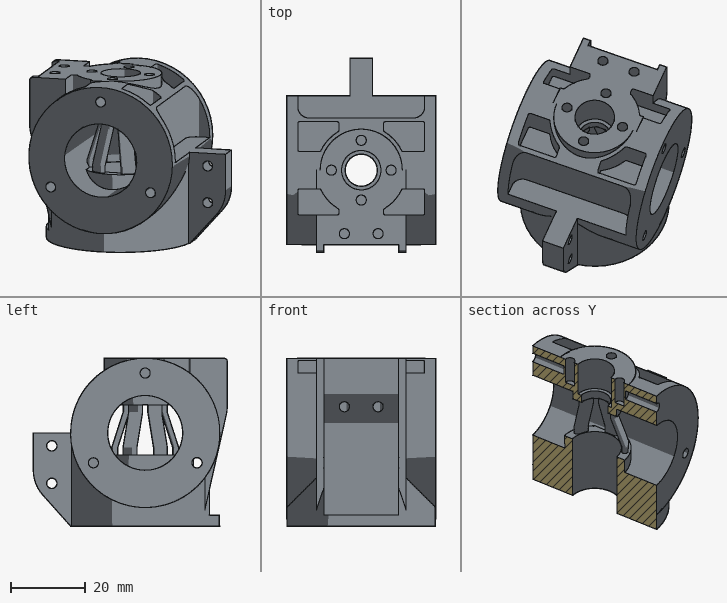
import cadquery as cq
import math

barrel_length = 40.0
body_diameter = 40.0
body_radius = body_diameter / 2
barrel_half = barrel_length / 2
barrel_bore_diameter = 20.0
base_diameter = 39.95
base_bottom = -25.0
top = body_radius
screw_diameter = 2.7

end_screw_radius = 16.0
end_screw_angles = (90, 210, 330)

seat_diameter = 22.0
seat_screw_radius = 8.0
seat_screw_depth = 7.8
seat_screw_angles = (0, 90, 180, 270)
seat_bore_diameter = 10.55
seat_bore_depth = 10.0
through_bore_diameter = 8.55

upper_collar_diameter = 14.3
upper_collar_end = 7.5
lower_collar_diameter = 19.5
lower_collar_end = -5.9
base_bore_diameter = upper_collar_diameter
bar_count = 6
bar_thickness = 1.65
bar_width = 4.1
bar_stub = 1.9
bar_upper_radius = (through_bore_diameter + bar_thickness) / 2
bar_lower_radius = 8.15

block_width = 24.0
block_front = -22.0
rib_corner_fillet = 0.85
rib_bend_z = 6.0
rib_bend_fillet = 10.0
rib_foot_y = -15.0
recess_width = 20.0
base_lip_height = 3.0
recess_floor = base_bottom + base_lip_height
recess_wall_y = -13.0
overhang_face_y = -body_radius
overhang_edge_z = 10.0
overhang_fillet = 5.0
overhang_screw_x = 4.5
overhang_screw_y = -17.0

end_screw_depth = (barrel_length - recess_width) / 2

pocket_inner_x = 6.0
pocket_outer_x = 17.0
pocket_inner_y = 5.0
pocket_front_y = 12.0
pocket_rear_y = 13.0
pocket_floor = 12.0
pocket_fillet = 0.5
seat_wall_radius = 12.0

notch_front_y = 14.0
notch_fillet = 3.0
tab_width = 6.05
tab_end = 30.0
tab_slope_start_z = -13.8
tab_slope_fillet = 10.0
tab_screw_y = 25.0
tab_screw_z = (-3.5, -13.5)


def upright(diameter, bottom, upper, x=0, y=0):
    """Vertical cylinder between two heights."""
    return cq.Workplane("XY", origin=(x, y, bottom)).circle(diameter / 2).extrude(upper - bottom)


def along_x(diameter, x_start, length, y=0, z=0):
    """Cylinder parallel to X, starting at x_start."""
    return cq.Workplane("YZ", origin=(x_start, y, z)).circle(diameter / 2).extrude(length)


def side_profile(points, width):
    """Outline in the YZ plane, extruded evenly to both sides of X = 0."""
    return cq.Workplane("YZ").polyline(points).close().extrude(width / 2, both=True)


def plan_box(x_start, x_end, y_start, y_end, bottom, upper):
    """Box given by its limits on each axis."""
    size = (x_end - x_start, y_end - y_start, upper - bottom)
    return cq.Workplane("XY", origin=(x_start, y_start, bottom)).box(*size, centered=False)


def edge_at(solid, y, z):
    """The edge parallel to X that passes through the given Y and Z."""
    near = 0.005
    corner = cq.selectors.BoxSelector((-body_radius, y - near, z - near), (body_radius, y + near, z + near))
    return solid.edges("|X").edges(corner)


def front_block():
    outline = [
        (0, top),
        (block_front, top),
        (block_front, rib_bend_z),
        (rib_foot_y, base_bottom),
        (0, base_bottom),
    ]
    block = side_profile(outline, block_width)
    block = edge_at(block, block_front, top).fillet(rib_corner_fillet)
    return edge_at(block, block_front, rib_bend_z).fillet(rib_bend_fillet)


def front_recess():
    """Space between the ribs, under a 45 degree overhang."""
    slope_foot_z = overhang_edge_z + overhang_face_y - recess_wall_y
    outer_y = block_front - body_radius
    outline = [
        (outer_y, top),
        (overhang_face_y, top),
        (overhang_face_y, overhang_edge_z),
        (recess_wall_y, slope_foot_z),
        (recess_wall_y, recess_floor),
        (outer_y, recess_floor),
    ]
    recess = side_profile(outline, recess_width)
    recess = edge_at(recess, overhang_face_y, overhang_edge_z).fillet(overhang_fillet)
    return edge_at(recess, recess_wall_y, slope_foot_z).fillet(overhang_fillet)


def mounting_tab():
    outline = [
        (0, 0),
        (tab_end, 0),
        (tab_end, tab_slope_start_z),
        (base_diameter / 2, base_bottom),
        (0, base_bottom),
    ]
    tab = side_profile(outline, tab_width)
    tab = edge_at(tab, tab_end, tab_slope_start_z).fillet(tab_slope_fillet)
    for z in tab_screw_z:
        tab = tab.cut(along_x(screw_diameter, -tab_width, 2 * tab_width, tab_screw_y, z))
    return tab


def seat_pocket(outer_y):
    """Pocket on the +X +Y side, with a round wall concentric with the seat."""
    pocket = plan_box(pocket_inner_x, pocket_outer_x, pocket_inner_y, outer_y, pocket_floor, top)
    pocket = pocket.cut(upright(2 * seat_wall_radius, pocket_floor, top))
    return pocket.edges("|Z").fillet(pocket_fillet)


def rear_notch():
    notch = plan_box(-pocket_outer_x, pocket_outer_x, notch_front_y, body_diameter, 0, top)
    return notch.edges("|Z and <Y").fillet(notch_fillet)


def bar_part(start_radius, start_z, end_radius, end_z):
    """Length of bar with a rounded section, running between two radii on the +Y side."""
    return (
        cq.Workplane("XY", origin=(0, start_radius, start_z))
        .slot2D(bar_width, bar_thickness)
        .workplane(offset=end_z - start_z)
        .center(0, end_radius - start_radius)
        .slot2D(bar_width, bar_thickness)
        .loft(ruled=True)
    )


def collar_bar():
    """Sloping bar with a short upright stub at each end, set into both collars."""
    slope_bottom = lower_collar_end + bar_stub
    slope_top = upper_collar_end - bar_stub
    embed = bar_stub / 2
    lower_stub = bar_part(bar_lower_radius, lower_collar_end - embed, bar_lower_radius, slope_bottom)
    slope = bar_part(bar_lower_radius, slope_bottom, bar_upper_radius, slope_top)
    upper_stub = bar_part(bar_upper_radius, slope_top, bar_upper_radius, upper_collar_end + embed)
    return lower_stub.union(slope).union(upper_stub)


body = along_x(body_diameter, -barrel_half, barrel_length)
body = body.union(upright(base_diameter, base_bottom, 0))
body = body.union(upright(seat_diameter, 0, top))
body = body.union(front_block())
body = body.union(mounting_tab())

body = body.cut(front_recess())
body = body.cut(rear_notch())
rear_pocket = seat_pocket(pocket_rear_y)
front_pocket = seat_pocket(pocket_front_y).mirror("XZ")
for pocket in (rear_pocket, front_pocket):
    body = body.cut(pocket)
    body = body.cut(pocket.mirror("YZ"))

barrel_bore = along_x(barrel_bore_diameter, -barrel_half, barrel_length)
barrel_bore = barrel_bore.cut(upright(upper_collar_diameter, upper_collar_end, top))
barrel_bore = barrel_bore.cut(upright(lower_collar_diameter, base_bottom, lower_collar_end))
body = body.cut(barrel_bore)

body = body.cut(upright(through_bore_diameter, 0, top))
body = body.cut(upright(seat_bore_diameter, top - seat_bore_depth, top))
body = body.cut(upright(base_bore_diameter, base_bottom, 0))

for index in range(bar_count):
    body = body.union(collar_bar().rotate((0, 0, 0), (0, 0, 1), index * 360 / bar_count))

for angle in seat_screw_angles:
    x = seat_screw_radius * math.cos(math.radians(angle))
    y = seat_screw_radius * math.sin(math.radians(angle))
    body = body.cut(upright(screw_diameter, top - seat_screw_depth, top, x, y))

for x in (-overhang_screw_x, overhang_screw_x):
    body = body.cut(upright(screw_diameter, 0, top, x, overhang_screw_y))

for angle in end_screw_angles:
    y = end_screw_radius * math.cos(math.radians(angle))
    z = end_screw_radius * math.sin(math.radians(angle))
    for start in (-barrel_half, barrel_half - end_screw_depth):
        body = body.cut(along_x(screw_diameter, start, end_screw_depth, y, z))

result = body